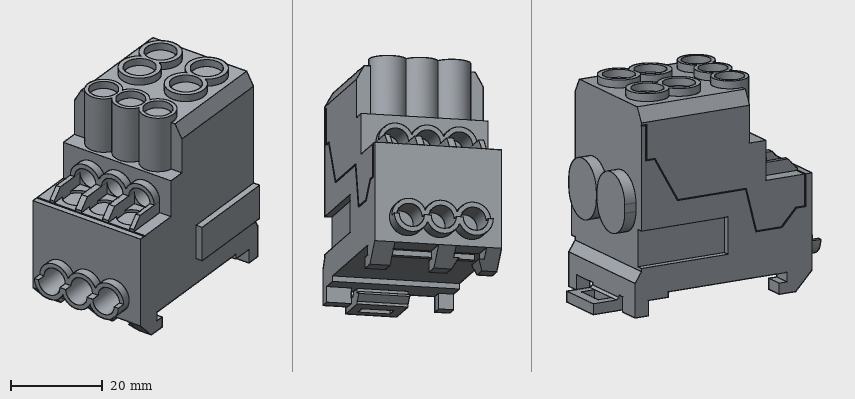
import cadquery as cq


BODY_WIDTH = 28.6
HALF_WIDTH = BODY_WIDTH / 2
REAR_Y = 43.1
TOP_Z = 47.25
BASE_Z = 4.7
STEP_Z = 3.5
DECK_Z = 26.35
SHOULDER_Y = 11.65
SHOULDER_Z = 35.45
TOWER_FRONT_Y = 15.8
FOOT_REAR_Y = 44.7
FOOT_INNER_Y = 41.35
FRONT_FOOT_Y = 8.3
FRONT_HOOK_Y = 6.3
FRONT_HOOK_Z = 2.55
FOOT_CHAMFER_Y = 4.15
FOOT_CHAMFER_Z = 4.3
STEP_FRONT_Y = 36.3
REAR_SLOPE_TOP_Z = 10.3
REAR_SLOPE_LOW_Z = 7.85
EDGE_CHAMFER_X = 1.85
EDGE_CHAMFER_Z = 3.2

TAB_DEPTH = 1.6
TAB_FRONT_Y = 21.2
TAB_BOTTOM_Z = 11.0
TAB_TOP_Z = 19.5

ROW_X = 0.15
ROW_PITCH = 7.2
CAP_TOP_Z = 49.05
COLUMN_Y = 16.55
COLUMN_RADIUS = 4.15
COLUMN_BORE_RADIUS = 3.25
MAIN_PITCH_X = 12.25
MAIN_CAP_YS = (28.75, 36.75)
MAIN_CAP_RADIUS = 4.7
MAIN_BORE_RADIUS = 3.6
TUBE_RADIUS = 3.95
BORE_RADIUS = 2.8
BORE_DEPTH = 5.55
LOWER_TUBE_Z = 9.8
LOWER_TUBE_LENGTH = 4.15
COLLAR_LENGTH = 2.1
UPPER_TUBE_Z = 29.3
SCREW_WELL_RADIUS = 3.2
SCREW_WELL_Y = 6.5
SCREW_WELL_DEPTH = 0.65
REAR_TUBE_RADIUS = 5.95
REAR_TUBE_LOW_Z = 23.4
REAR_TUBE_RISE = 2.0
REAR_TUBE_LENGTH = 2.8

PARTITION_FRONT_Y = 1.8
PARTITION_SLOPE_Y = 4.15
PARTITION_NOSE_Z = 26.85

SEAM_Y = PARTITION_FRONT_Y
SEAM_FRONT_Z = 19.1
SEAM_LOW_Z = 15.25
SEAM_MIDDLE_Z = 25.25
SEAM_REAR_Y = 41.75
SEAM_REAR_Z = 43.5
SEAM_WIDTH = 0.15
SEAM_DEPTH = 0.15

SLOT_LEFT_X = -9.75
SLOT_RIGHT_X = 0.1
WINDOW_LEFT_X = 4.05
WINDOW_RIGHT_X = 10.9
REAR_SLOT_LEFT_X = -8.75
HOOK_Z = 2.15
HOOK_REACH = 1.2
RIB_FRONT_Y = 8.85
RIB_REAR_Y = 10.3
RIB_RIGHT_X = 10.5
LATCH_LEFT_X = -7.4
LATCH_RIGHT_X = WINDOW_LEFT_X
LATCH_END_Y = 51.25
LATCH_HEIGHT = 2.5
LATCH_LUMP_Y = 45.45
LATCH_LUMP_Z = 2.95
LATCH_SIDE_BAR = 2.15
LATCH_END_BAR = 2.55
TOOTH_TIP_Y = 39.95
TOOTH_TIP_Z = 2.05
TOOTH_BASE_Z = 0.6

ROW_XS = [ROW_X + i * ROW_PITCH for i in (-1, 0, 1)]
MAIN_XS = [ROW_X + side * MAIN_PITCH_X / 2 for side in (-1, 1)]
ROW_LEFT_X = ROW_XS[0] - TUBE_RADIUS
ROW_RIGHT_X = ROW_XS[-1] + TUBE_RADIUS


def block(x0, x1, y0, y1, z0, z1):
    """Box between two opposite corners."""
    return cq.Workplane("XY").box(x1 - x0, y1 - y0, z1 - z0, centered=False).translate((x0, y0, z0))


def side_prism(points, x0, x1):
    """Outline of (y, z) points extruded from x0 to x1."""
    return cq.Workplane("YZ", origin=(x0, 0, 0)).polyline(points).close().extrude(x1 - x0)


def fuse(solids):
    """Join overlapping solids one after another."""
    joined = solids[0]
    for solid in solids[1:]:
        joined = joined.union(solid)
    return joined


def upright(centers, radius, z0, z1):
    """Vertical cylinders at (x, y) centers."""
    return fuse([cq.Workplane("XY", origin=(x, y, z0)).circle(radius).extrude(z1 - z0) for x, y in centers])


def cable_row(radius, z, y0, y1):
    """Three cylinders along Y at the cable positions."""
    return fuse([cq.Workplane("XZ", origin=(x, y0, z)).circle(radius).extrude(y0 - y1) for x in ROW_XS])


def housing():
    outline = [
        (FOOT_CHAMFER_Y, 0), (0, FOOT_CHAMFER_Z), (0, DECK_Z), (SHOULDER_Y, DECK_Z),
        (SHOULDER_Y, SHOULDER_Z), (TOWER_FRONT_Y, SHOULDER_Z), (TOWER_FRONT_Y, TOP_Z),
        (REAR_Y, TOP_Z), (REAR_Y, REAR_SLOPE_TOP_Z), (FOOT_REAR_Y, REAR_SLOPE_LOW_Z), (FOOT_REAR_Y, 0),
        (FOOT_INNER_Y, 0), (FOOT_INNER_Y, STEP_Z), (STEP_FRONT_Y, STEP_Z), (STEP_FRONT_Y, BASE_Z),
        (FRONT_HOOK_Y, BASE_Z), (FRONT_HOOK_Y, FRONT_HOOK_Z),
        (FRONT_FOOT_Y, FRONT_HOOK_Z), (FRONT_FOOT_Y, 0),
    ]
    body = side_prism(outline, -HALF_WIDTH, HALF_WIDTH)
    for side in (-1, 1):
        corner = [
            (side * HALF_WIDTH, TOP_Z),
            (side * HALF_WIDTH, TOP_Z - EDGE_CHAMFER_Z),
            (side * (HALF_WIDTH - EDGE_CHAMFER_X), TOP_Z),
        ]
        body = body.cut(cq.Workplane("XZ").polyline(corner).close().extrude(-REAR_Y))
    return body


def interlock(body):
    tab = block(HALF_WIDTH, HALF_WIDTH + TAB_DEPTH, TAB_FRONT_Y, REAR_Y, TAB_BOTTOM_Z, TAB_TOP_Z)
    return body.union(tab).cut(tab.translate((-BODY_WIDTH, 0, 0)))


def screw_caps(body):
    main_centers = [(x, y) for x in MAIN_XS for y in MAIN_CAP_YS]
    row_centers = [(x, COLUMN_Y) for x in ROW_XS]
    body = body.union(upright(main_centers, MAIN_CAP_RADIUS, TOP_Z, CAP_TOP_Z))
    body = body.union(upright(row_centers, COLUMN_RADIUS, SHOULDER_Z, CAP_TOP_Z))
    body = body.cut(upright(main_centers, MAIN_BORE_RADIUS, TOP_Z, CAP_TOP_Z))
    return body.cut(upright(row_centers, COLUMN_BORE_RADIUS, TOP_Z, CAP_TOP_Z))


def lower_cable_tubes(body):
    tubes = cable_row(TUBE_RADIUS, LOWER_TUBE_Z, -LOWER_TUBE_LENGTH, 0)
    tubes = tubes.cut(block(
        ROW_LEFT_X, ROW_RIGHT_X, -LOWER_TUBE_LENGTH, -COLLAR_LENGTH,
        LOWER_TUBE_Z, LOWER_TUBE_Z + TUBE_RADIUS,
    ))
    return body.union(tubes).cut(cable_row(BORE_RADIUS, LOWER_TUBE_Z, -LOWER_TUBE_LENGTH, BORE_DEPTH))


def upper_cable_channels(body):
    collar_y = SHOULDER_Y - COLLAR_LENGTH
    collars = cable_row(TUBE_RADIUS, UPPER_TUBE_Z, collar_y, SHOULDER_Y)
    collars = collars.intersect(block(
        ROW_LEFT_X, ROW_RIGHT_X, collar_y, SHOULDER_Y, UPPER_TUBE_Z, UPPER_TUBE_Z + TUBE_RADIUS,
    ))
    partition = [
        (SHOULDER_Y, DECK_Z), (PARTITION_FRONT_Y, DECK_Z), (PARTITION_FRONT_Y, PARTITION_NOSE_Z),
        (PARTITION_SLOPE_Y, UPPER_TUBE_Z), (SHOULDER_Y, UPPER_TUBE_Z),
    ]
    partitions = side_prism(partition, ROW_LEFT_X, ROW_RIGHT_X)
    body = body.union(partitions).union(collars)
    well_centers = [(x, SCREW_WELL_Y) for x in ROW_XS]
    wells = upright(well_centers, SCREW_WELL_RADIUS, DECK_Z - SCREW_WELL_DEPTH, DECK_Z)
    for x in ROW_XS:
        left_x = x - BORE_RADIUS
        right_x = x + BORE_RADIUS
        body = body.cut(block(left_x, right_x, PARTITION_FRONT_Y, SHOULDER_Y, DECK_Z, UPPER_TUBE_Z))
        trim = block(left_x, right_x, 0, SHOULDER_Y, DECK_Z - SCREW_WELL_DEPTH, DECK_Z)
        body = body.cut(wells.intersect(trim))
    return body.cut(cable_row(BORE_RADIUS, UPPER_TUBE_Z, collar_y, SHOULDER_Y + BORE_DEPTH))


def rear_tubes(body):
    middle_z = REAR_TUBE_LOW_Z + REAR_TUBE_RISE / 2
    plane = cq.Workplane("XZ", origin=(0, REAR_Y, 0)).pushPoints([(x, middle_z) for x in MAIN_XS])
    height = REAR_TUBE_RISE + 2 * REAR_TUBE_RADIUS
    return body.union(plane.slot2D(height, 2 * REAR_TUBE_RADIUS, 90).extrude(-REAR_TUBE_LENGTH))


def rail_feet(body):
    body = body.cut(block(SLOT_LEFT_X, SLOT_RIGHT_X, 0, FRONT_FOOT_Y, 0, FOOT_CHAMFER_Z))
    window = [
        (WINDOW_LEFT_X, 0), (WINDOW_LEFT_X + HOOK_REACH, HOOK_Z), (WINDOW_LEFT_X, HOOK_Z),
        (WINDOW_LEFT_X, FOOT_CHAMFER_Z), (WINDOW_RIGHT_X, FOOT_CHAMFER_Z), (WINDOW_RIGHT_X, HOOK_Z),
        (WINDOW_RIGHT_X - HOOK_REACH, HOOK_Z), (WINDOW_RIGHT_X, 0),
    ]
    body = body.cut(cq.Workplane("XZ").polyline(window).close().extrude(-FRONT_FOOT_Y))
    body = body.cut(block(REAR_SLOT_LEFT_X, WINDOW_RIGHT_X, FOOT_INNER_Y, FOOT_REAR_Y, 0, STEP_Z))
    return body.union(block(SLOT_LEFT_X, RIB_RIGHT_X, RIB_FRONT_Y, RIB_REAR_Y, STEP_Z, BASE_Z))


def rail_latch(body):
    outline = [
        (FOOT_INNER_Y, 0), (FOOT_INNER_Y, TOOTH_BASE_Z), (TOOTH_TIP_Y, TOOTH_TIP_Z),
        (TOOTH_TIP_Y, LATCH_HEIGHT), (FOOT_INNER_Y, LATCH_HEIGHT), (FOOT_INNER_Y, STEP_Z),
        (FOOT_REAR_Y, STEP_Z), (FOOT_REAR_Y, LATCH_LUMP_Z), (LATCH_LUMP_Y, LATCH_HEIGHT),
        (LATCH_END_Y, LATCH_HEIGHT), (LATCH_END_Y, 0),
    ]
    latch = side_prism(outline, LATCH_LEFT_X, LATCH_RIGHT_X)
    loop_hole = block(
        LATCH_LEFT_X + LATCH_SIDE_BAR, LATCH_RIGHT_X - LATCH_SIDE_BAR,
        LATCH_LUMP_Y, LATCH_END_Y - LATCH_END_BAR, 0, LATCH_HEIGHT,
    )
    return body.union(latch.cut(loop_hole))


def cover_seam(body):
    outside_y = LATCH_END_Y
    outside_z = CAP_TOP_Z
    cover = [
        (outside_y, SEAM_REAR_Z), (SEAM_REAR_Y, SEAM_REAR_Z), (SEAM_REAR_Y, SHOULDER_Z),
        (39.65, SHOULDER_Z), (33.85, SEAM_MIDDLE_Z), (16.6, SEAM_MIDDLE_Z),
        (14.0, SEAM_LOW_Z), (7.7, SEAM_LOW_Z), (4.05, SEAM_FRONT_Z),
        (SEAM_Y, SEAM_FRONT_Z), (SEAM_Y, outside_z), (outside_y, outside_z),
    ]
    plane = cq.Workplane("YZ", origin=(-HALF_WIDTH, 0, 0))
    cover_face = plane.polyline(cover).close()
    outer = cover_face.offset2D(SEAM_WIDTH, "intersection").extrude(SEAM_DEPTH)
    body = body.cut(outer.cut(side_prism(cover, -HALF_WIDTH, HALF_WIDTH)))
    deck_groove = block(
        -HALF_WIDTH, HALF_WIDTH, SEAM_Y - SEAM_WIDTH, SEAM_Y, DECK_Z - SEAM_DEPTH, DECK_Z,
    )
    return body.cut(deck_groove)


result = housing()
result = interlock(result)
result = screw_caps(result)
result = lower_cable_tubes(result)
result = upper_cable_channels(result)
result = rear_tubes(result)
result = rail_feet(result)
result = rail_latch(result)
result = cover_seam(result)